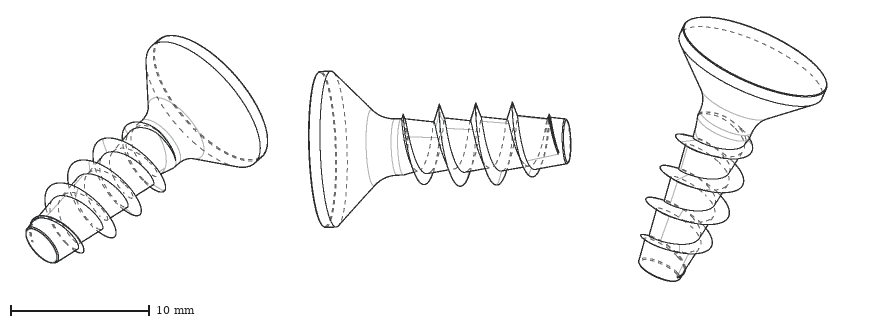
import cadquery as cq
import math

length = 18.0
head_radius = 5.65
head_rim_height = 0.85
head_edge_break = 0.06
head_cone_angle = math.radians(45)
neck_radius = 2.05
neck_fillet_radius = 2.42
neck_fillet_end = 5.43
shank_start = 5.91

core_taper = math.tan(math.radians(8))
run_in_taper = math.tan(math.radians(13.5))
run_in_length = 1.9
tip_radius = 1.63
tip_edge_break = 0.08
tip_rim_width = 0.06
tip_dish_depth = 0.1

pitch = 2.68
thread_start = 5.95
crest_radius = 3.0
root_radius = 1.3
flank_slope = math.tan(math.radians(19))
first_turn = -0.25
full_height_turn = 1.2
start_crest_radius = 2.02
fade_turn = 3.02
last_turn = 4.4
end_crest_radius = 1.63

relief_radius = 2.03
relief_margin = 0.1
relief_outer_radius = 2.5
relief_first_turn = -1.2
relief_last_turn = 3.55

pieces_per_turn = 2
steps_per_piece = 8


def helix_point(radius, depth, turn):
    """Point at a depth below the head; turns run right-handed from +Z towards -X."""
    angle = 2 * math.pi * turn
    return cq.Vector(-radius * math.sin(angle), -depth, radius * math.cos(angle))


def helical_solid(section, turn_from, turn_to):
    """Solid whose (radius, depth) corners at each turn are given by section(turn)."""

    def corners(turn):
        return [helix_point(radius, depth, turn) for radius, depth in section(turn)]

    def end_cap(turn):
        return cq.Face.makeFromWires(cq.Wire.makePolygon(corners(turn), close=True))

    piece_count = math.ceil((turn_to - turn_from) * pieces_per_turn)
    piece_turns = (turn_to - turn_from) / piece_count
    faces = [end_cap(turn_from), end_cap(turn_to)]
    for piece in range(piece_count):
        piece_start = turn_from + piece * piece_turns
        turns = [piece_start + piece_turns * i / steps_per_piece for i in range(steps_per_piece + 1)]
        rails = [cq.Edge.makeSpline(list(path)) for path in zip(*map(corners, turns))]
        for i in range(len(rails)):
            faces.append(cq.Face.makeRuledSurface(rails[i - 1], rails[i]))
    return cq.Workplane(cq.Solid.makeSolid(cq.Shell.makeShell(faces)).fix())


def crest_at(turn):
    """Crest radius: grows in over the first turn, fades out towards the tip."""
    if turn < full_height_turn:
        remaining = (full_height_turn - turn) / (full_height_turn - first_turn)
        return crest_radius - (crest_radius - start_crest_radius) * remaining**2
    if turn > fade_turn:
        faded = (turn - fade_turn) / (last_turn - fade_turn)
        return crest_radius - (crest_radius - end_crest_radius) * faded
    return crest_radius


def thread_section(turn):
    crest = crest_at(turn)
    depth = thread_start + pitch * max(turn, 0)
    half_width = (crest - root_radius) * flank_slope
    return [(root_radius, depth - half_width), (crest, depth), (root_radius, depth + half_width)]


def relief_section(turn):
    top = thread_start + pitch * turn + relief_margin
    bottom = top + pitch - 2 * relief_margin
    bottom_radius = relief_radius - (bottom - top) * core_taper
    return [
        (relief_radius, top),
        (bottom_radius, bottom),
        (relief_outer_radius, bottom),
        (relief_outer_radius, top),
    ]


def revolved(profile):
    return profile.close().revolve(360, (0, 0, 0), (0, 1, 0))


def make_head():
    """Countersunk head blended into the cylindrical neck."""

    def neck_fillet_point(angle):
        return (
            neck_radius + neck_fillet_radius * (1 - math.cos(angle)),
            neck_fillet_radius * math.sin(angle) - neck_fillet_end,
        )

    return revolved(
        cq.Workplane("XY")
        .lineTo(head_radius - head_edge_break, 0)
        .lineTo(head_radius, -head_edge_break)
        .lineTo(head_radius, -head_rim_height)
        .lineTo(*neck_fillet_point(head_cone_angle))
        .threePointArc(neck_fillet_point(head_cone_angle / 2), neck_fillet_point(0))
        .lineTo(neck_radius, -shank_start)
        .lineTo(0, -shank_start)
    )


def make_shank():
    """Cylindrical shank with a tapered tip and a shallow dish in its end."""
    taper_length = (neck_radius - tip_radius) / core_taper
    rim_radius = tip_radius - tip_edge_break
    return revolved(
        cq.Workplane("XY")
        .moveTo(0, -shank_start)
        .lineTo(neck_radius, -shank_start)
        .lineTo(neck_radius, taper_length - length)
        .lineTo(tip_radius, tip_edge_break - length)
        .lineTo(rim_radius, -length)
        .lineTo(rim_radius - tip_rim_width, -length)
        .lineTo(0, tip_dish_depth - length)
    )


def make_run_in():
    """Cone that leads from the neck down into the helical relief."""
    run_in_end = shank_start + run_in_length
    return revolved(
        cq.Workplane("XY")
        .moveTo(0, -shank_start)
        .lineTo(neck_radius, -shank_start)
        .lineTo(neck_radius - run_in_length * run_in_taper, -run_in_end)
        .lineTo(0, -run_in_end)
    )


relief = helical_solid(relief_section, relief_first_turn, relief_last_turn)
thread = helical_solid(thread_section, first_turn, last_turn)
core = make_shank().cut(relief)
result = core.union(make_run_in()).union(thread).union(make_head())